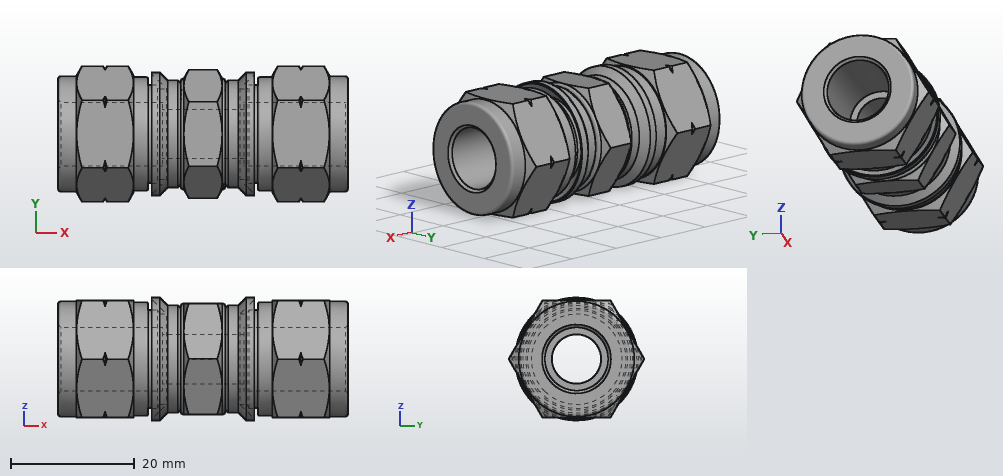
import cadquery as cq
import math

half_length = 23.45

nut_flats = 19.0
nut_hex_outer = 20.5
nut_hex_inner = 11.15
nut_hex_middle = (nut_hex_inner + nut_hex_outer) / 2
nut_inner_end = 8.85
nut_outer_diameter = 18.7
nut_inner_diameter = 18.4
nut_outer_round = 0.5
nut_inner_round = 0.37

groove_depth = 0.5
groove_half_width = 0.35

body_flats = 18.0
body_hex_half_width = 3.1
shoulder_diameter = body_flats
relief_start = 3.6
shoulder_round = relief_start - body_hex_half_width
relief_end = 4.1
relief_diameter = 16.45
body_diameter = 17.4
flange_diameter = 19.9
flange_cone_start = 5.7
flange_rim_start = 7.0
flange_end = 8.3
neck_diameter = 15.9

recess_mouth_diameter = 19.4
recess_root_diameter = 14.6
recess_depth = (recess_mouth_diameter - recess_root_diameter) / 2
neck_root_end = 7.4
neck_chamfer = 0.35

through_bore = 7.9
tube_bore = 10.2
tube_bore_depth = 16.85
tube_bore_chamfer = 0.45

hex_chamfer_angle = 30.0
hex_corner_ratio = 1 / math.cos(math.radians(30))


def cylinder(diameter, start, end):
    """Cylinder on the X axis between two stations."""
    return cq.Workplane("YZ", origin=(start, 0, 0)).circle(diameter / 2).extrude(end - start)


def revolve_about_x(points):
    """Turn a closed (station, radius) outline about the X axis."""
    return cq.Workplane("XY").polyline(points).close().revolve(360, (0, 0, 0), (1, 0, 0))


def chamfered_hexagon(flats, face_diameter, start, end):
    """Hexagon with corners on +Y and -Y, both ends turned to a cone down to face_diameter."""
    corner_diameter = flats * hex_corner_ratio
    corner_radius = corner_diameter / 2
    face_radius = face_diameter / 2
    cone_length = (corner_radius - face_radius) * math.tan(math.radians(hex_chamfer_angle))
    prism = cq.Workplane("YZ", origin=(start, 0, 0)).polygon(6, corner_diameter).extrude(end - start)
    envelope = revolve_about_x([
        (start, 0),
        (start, face_radius),
        (start + cone_length, corner_radius),
        (end - cone_length, corner_radius),
        (end, face_radius),
        (end, 0),
    ])
    return prism.intersect(envelope)


def corner_groove():
    """Ring with a V section that notches the six nut corners."""
    corner_radius = nut_flats * hex_corner_ratio / 2
    overshoot = 2.0
    outer_half_width = groove_half_width * overshoot
    outer_radius = corner_radius + groove_depth * (overshoot - 1)
    return revolve_about_x([
        (nut_hex_middle, corner_radius - groove_depth),
        (nut_hex_middle + outer_half_width, outer_radius),
        (nut_hex_middle - outer_half_width, outer_radius),
    ])


def nut():
    """Nut on the +X end."""
    hexagon = chamfered_hexagon(nut_flats, nut_outer_diameter, nut_hex_inner, nut_hex_outer)
    outer_collar = cylinder(nut_outer_diameter, nut_hex_middle, half_length)
    outer_collar = outer_collar.faces(">X").edges().fillet(nut_outer_round)
    inner_collar = cylinder(nut_inner_diameter, nut_inner_end, nut_hex_middle)
    inner_collar = inner_collar.faces("<X").edges().fillet(nut_inner_round)
    return hexagon.cut(corner_groove()).union(outer_collar).union(inner_collar)


def flange_recess():
    """Annular recess between the flange rim and the neck, open toward the +X nut."""
    root_radius = recess_root_diameter / 2
    neck_radius = neck_diameter / 2
    return revolve_about_x([
        (flange_end, recess_mouth_diameter / 2),
        (flange_end, neck_radius),
        (neck_root_end, neck_radius),
        (neck_root_end - neck_chamfer, root_radius),
        (flange_end - recess_depth, root_radius),
    ])


def body_half():
    """Turned section from the middle hexagon out to the neck inside the +X nut."""
    shoulder = cylinder(shoulder_diameter, 0, relief_start).faces(">X").edges().fillet(shoulder_round)
    turned = revolve_about_x([
        (0, 0),
        (0, relief_diameter / 2),
        (relief_start, relief_diameter / 2),
        (relief_end, body_diameter / 2),
        (flange_cone_start, body_diameter / 2),
        (flange_rim_start, flange_diameter / 2),
        (flange_end, flange_diameter / 2),
        (flange_end, neck_diameter / 2),
        (nut_hex_inner, neck_diameter / 2),
        (nut_hex_inner, 0),
    ])
    return shoulder.union(turned).cut(flange_recess())


def tube_socket():
    """Counterbore for the tube at the +X end, with a chamfered mouth."""
    bore_radius = tube_bore / 2
    return revolve_about_x([
        (half_length - tube_bore_depth, 0),
        (half_length - tube_bore_depth, bore_radius),
        (half_length - tube_bore_chamfer, bore_radius),
        (half_length, bore_radius + tube_bore_chamfer),
        (half_length, 0),
    ])


half = body_half().union(nut()).cut(tube_socket())
body_hexagon = chamfered_hexagon(body_flats, shoulder_diameter, -body_hex_half_width, body_hex_half_width)

result = (
    half.union(half.mirror("YZ"))
    .union(body_hexagon)
    .cut(cylinder(through_bore, -half_length, half_length))
)